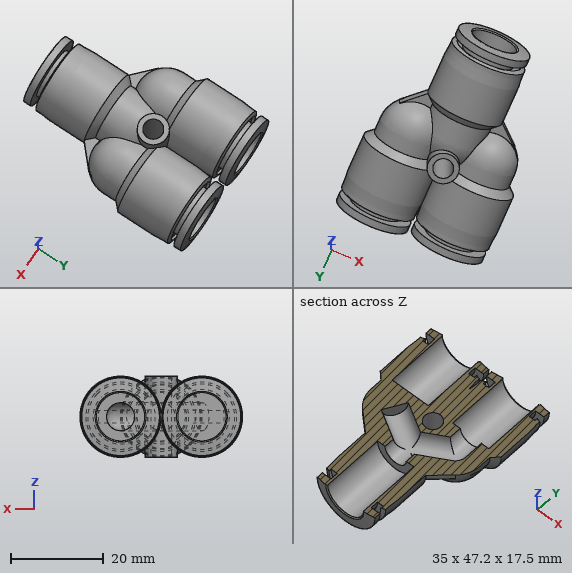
import cadquery as cq
import math

length = 47.2
body_diameter = 17.5
body_radius = body_diameter / 2
weld_depth = 0.005

face_drop = 0.4
cap_end = 2.1
lip_start = 3.25
lip_end = 4.7
recess_depth = 0.7
taper_end = 7.3
shoulder_start = 16.35
shoulder_end = 18.05

cap_radius = 8.35
collar_radius = 5.9
recess_radius = 7.45
lip_radius = 8.55
neck_radius = 7.05

tube_radius = 5.2
mouth_chamfer = 0.3
passage_radius = 3.0

stem_neck_length = 23.4
branch_neck_length = 21.35

boss_diameter = 6.95
boss_hole_diameter = 4.5
boss_y = 4.75

rib_thickness = 2.65

end_y = length / 2
branch_x = body_radius - weld_depth
stem_ball_y = stem_neck_length - end_y
branch_ball_y = end_y - branch_neck_length
stem_shoulder_y = shoulder_start - end_y
passage_slope = math.radians(30)
fork_y = branch_ball_y - branch_x * math.tan(passage_slope)


def ball(x, y, radius):
    return cq.Workplane("XY").sphere(radius).translate((x, y, 0))


def rod(start, end, radius):
    """Round bar between two points of the XY plane."""
    axis = cq.Vector(end[0] - start[0], end[1] - start[1], 0)
    return cq.Workplane(cq.Solid.makeCylinder(radius, axis.Length, cq.Vector(*start, 0), axis))


def place_port(shape, x, faces_plus_y):
    """Move a port drawn at the origin, open toward -Y, to its end of the fitting."""
    if faces_plus_y:
        shape = shape.rotate((0, 0, 0), (0, 0, 1), 180)
    return shape.translate((x, end_y if faces_plus_y else -end_y, 0))


def port_outside(neck_length):
    """Cap, recessed collar, tapered body and ball-ended neck, turned about Y."""
    body = (
        cq.Workplane("XY")
        .polyline([
            (0, 0),
            (tube_radius + mouth_chamfer, 0),
            (cap_radius, face_drop),
            (cap_radius, cap_end),
            (collar_radius, cap_end),
            (collar_radius, lip_start + recess_depth),
            (recess_radius, lip_start + recess_depth),
            (recess_radius, lip_start),
            (lip_radius, lip_start + face_drop),
            (lip_radius, lip_end),
            (body_radius, taper_end),
            (body_radius, shoulder_start),
            (neck_radius, shoulder_end),
            (neck_radius, neck_length),
            (0, neck_length),
        ])
        .close()
        .revolve(360, (0, 0, 0), (0, 1, 0))
    )
    return body.union(ball(0, neck_length, neck_radius))


def port_bore():
    """Tube socket with a chamfered mouth, turned about Y."""
    return (
        cq.Workplane("XY")
        .polyline([
            (0, 0),
            (tube_radius + mouth_chamfer, 0),
            (tube_radius, mouth_chamfer),
            (tube_radius, shoulder_start),
            (0, shoulder_start),
        ])
        .close()
        .revolve(360, (0, 0, 0), (0, 1, 0))
    )


def rib(side):
    """Flat web from the stem body's corner, tangent to a branch ball."""
    dx = branch_x - body_radius
    dy = branch_ball_y - stem_shoulder_y
    distance = math.hypot(dx, dy)
    tangent_length = math.sqrt(distance**2 - neck_radius**2)
    tangent_angle = math.atan2(dy, dx) - math.asin(neck_radius / distance)
    tangent_x = body_radius + tangent_length * math.cos(tangent_angle)
    tangent_y = stem_shoulder_y + tangent_length * math.sin(tangent_angle)
    return (
        cq.Workplane("XY")
        .polyline([
            (0, stem_shoulder_y),
            (side * body_radius, stem_shoulder_y),
            (side * tangent_x, tangent_y),
            (side * branch_x, branch_ball_y),
            (0, stem_ball_y),
        ])
        .close()
        .extrude(rib_thickness / 2, both=True)
    )


def branch_passage(side):
    """Narrow passage from a branch socket, round the bend and down to the fork."""
    bend = (side * branch_x, branch_ball_y)
    socket_floor = (side * branch_x, end_y - shoulder_start)
    straight = rod(socket_floor, bend, passage_radius)
    slanted = rod(bend, (0, fork_y), passage_radius)
    return straight.union(ball(*bend, passage_radius)).union(slanted)


outside = place_port(port_outside(stem_neck_length), 0, False)
for side in (-1, 1):
    outside = outside.union(place_port(port_outside(branch_neck_length), side * branch_x, True))
    outside = outside.union(rib(side))

boss = (
    cq.Workplane("XY")
    .center(0, boss_y)
    .circle(boss_diameter / 2)
    .extrude(body_radius, both=True)
)
outside = outside.union(boss)

result = outside.cut(place_port(port_bore(), 0, False))
result = result.cut(rod((0, stem_shoulder_y), (0, fork_y), passage_radius))
for side in (-1, 1):
    result = result.cut(place_port(port_bore(), side * branch_x, True))
    result = result.cut(branch_passage(side))

boss_hole = (
    cq.Workplane("XY")
    .center(0, boss_y)
    .circle(boss_hole_diameter / 2)
    .extrude(body_radius, both=True)
)
result = result.cut(boss_hole)